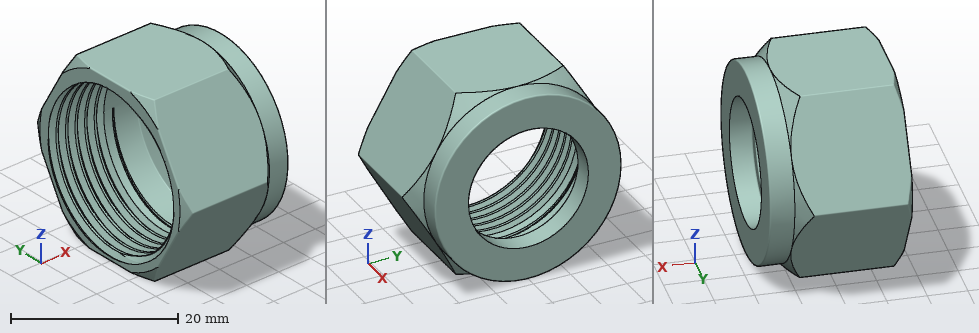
import cadquery as cq
import math

across_flats = 25.0
overall_length = 17.4
hex_length = 14.38
collar_radius = across_flats / 2
edge_rounding = 0.2
front_rim_radius = 12.95
front_bevel_slope = math.tan(math.radians(30))
back_bevel_slope = math.tan(math.radians(45))

bore_radius = 11.1
bore_depth = 13.63
cone_end_depth = 14.55
hole_radius = 8.05
inner_rounding = 0.17

pitch = 1.5
thread_root_radius = 11.9
root_flat = pitch / 8
flank_angle = 30
lead_in_turns = 2
full_turns = 5.25
fade_pitch = 2.2
cutter_overlap = 0.1

entry_radius = 11.2
entry_offset = thread_root_radius - entry_radius
entry_direction = -33
entry_depth = entry_offset

hex_angle = 60
corner_radius = across_flats / 2 / math.cos(math.radians(hex_angle / 2))


def revolve_about_x(points):
    """Turn (x, radius) points around the X axis."""
    return cq.Workplane("XY").polyline(points).close().revolve(360, (0, 0, 0), (1, 0, 0))


def hexagon():
    """Hexagon bevelled by a cone at each end, with rounded edges around its flats."""
    angles = [math.radians(hex_angle * i) for i in range(6)]
    corners = [(corner_radius * math.cos(a), corner_radius * math.sin(a)) for a in angles]
    prism = cq.Workplane("YZ").polyline(corners).close().extrude(hex_length)
    front_bevel = (corner_radius - front_rim_radius) * front_bevel_slope
    back_bevel = (corner_radius - collar_radius) * back_bevel_slope
    envelope = revolve_about_x([
        (0, 0),
        (0, front_rim_radius),
        (front_bevel, corner_radius),
        (hex_length - back_bevel, corner_radius),
        (hex_length, collar_radius),
        (hex_length, 0),
    ])
    body = prism.intersect(envelope)
    flats = body.faces("%PLANE").filter(lambda face: abs(face.normalAt().x) < 0.5)
    rounded_edges = flats.edges().filter(lambda edge: edge.Center().x < hex_length - back_bevel)
    return rounded_edges.fillet(edge_rounding)


def collar():
    """Round collar behind the hexagon, with a rounded outer edge."""
    body = cq.Workplane("YZ").workplane(offset=hex_length).circle(collar_radius)
    body = body.extrude(overall_length - hex_length)
    return body.faces(">X").edges().fillet(edge_rounding)


def bore():
    """Bore that narrows through a shallow cone to the through hole."""
    cutter = revolve_about_x([
        (0, 0),
        (0, bore_radius),
        (bore_depth, bore_radius),
        (cone_end_depth, hole_radius),
        (overall_length, hole_radius),
        (overall_length, 0),
    ])
    return cutter.faces("%CONE").edges("%CIRCLE").fillet(inner_rounding)


def groove_along(helix):
    """Thread groove swept along a helix around Z that starts on the +X side."""
    half_root = root_flat / 2
    inner_radius = bore_radius - cutter_overlap
    half_mouth = half_root + (thread_root_radius - inner_radius) * math.tan(math.radians(flank_angle))
    section = cq.Workplane("XZ").polyline([
        (inner_radius, -half_mouth),
        (thread_root_radius, -half_root),
        (thread_root_radius, half_root),
        (inner_radius, half_mouth),
    ])
    return section.close().sweep(cq.Workplane(helix), isFrenet=True)


def place_groove(groove, turns):
    """Lay a groove along X, with its start at the given turns behind the front face."""
    groove = groove.rotate((0, 0, 0), (0, 0, 1), 360 * turns)
    return groove.rotate((0, 0, 0), (0, 1, 0), 90).translate((turns * pitch, 0, 0))


def cut_thread(body):
    """Cut the full thread, then a last turn on a narrowing helix."""
    full_length = (lead_in_turns + full_turns) * pitch
    fade_angle = math.degrees(math.atan((thread_root_radius - bore_radius) / fade_pitch))
    full = groove_along(cq.Wire.makeHelix(pitch, full_length, bore_radius))
    fade = groove_along(cq.Wire.makeHelix(fade_pitch, fade_pitch, bore_radius, angle=-fade_angle))
    body = body.cut(place_groove(fade, full_turns))
    return body.cut(place_groove(full, -lead_in_turns))


def thread_entry():
    """45 degree conical cut set off-centre, so it bites into one side of the bore only."""
    direction = math.radians(entry_direction)
    cone = revolve_about_x([
        (0, 0),
        (0, entry_radius),
        (entry_depth, entry_radius - entry_depth),
        (entry_depth, 0),
    ])
    return cone.translate((0, -entry_offset * math.cos(direction), entry_offset * math.sin(direction)))


result = cut_thread(hexagon().union(collar()).cut(bore()).cut(thread_entry()))